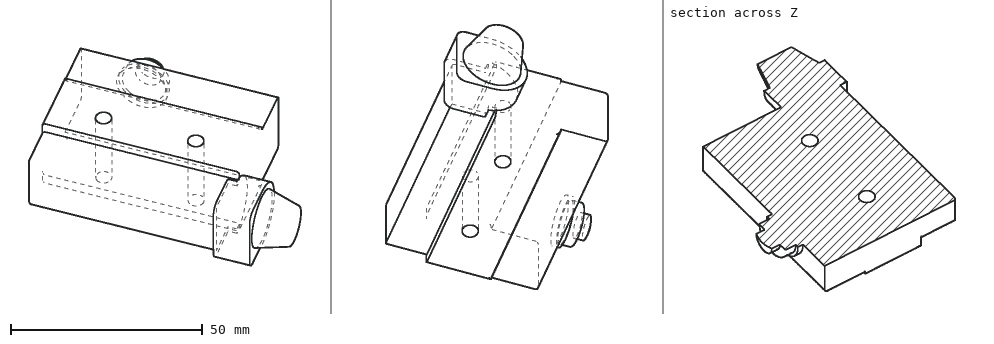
import cadquery as cq

body_length = 54.5
body_width = 42.4
edge_radius = 1.0

rear_height = 19.2
ridge_height = 22.0
front_height = 16.0
ridge_front_y = 11.4
ridge_rear_y = 29.4

hole_diameter = 4.21
hole_spacing = 25.5
first_hole_x = 14.5
hole_y = 18.45

plunger_x = 16.7
flange_diameter = 14.0
flange_top = 1.6
bushing_diameter = 12.0
bushing_top = 4.9
bushing_edge_radius = 0.5
button_diameter = 7.0
button_side_top = 7.5
button_dome_top = 8.2

overall_length = 71.0
collar_radius = 9.8
collar_start_x = 52.0
collar_end_x = 62.0
collar_corner_radius = 2.6
collar_overhang = 2.1
collar_axis_y = 7.6
collar_wrap_y = 9.3
nose_base_radius = 8.0
nose_tip_radius = 5.5
nose_edge_radius = 0.3


def block(x_min, x_max, y_min, y_max, height):
    """Box centred on the mid plane Z = 0."""
    return (
        cq.Workplane("XY")
        .box(x_max - x_min, y_max - y_min, height, centered=(False, False, True))
        .translate((x_min, y_min, 0))
    )


def make_body():
    rear = block(0, body_length, ridge_front_y, body_width, rear_height)
    rear = rear.faces(">Y").edges("|X").fillet(edge_radius)

    ridge = block(0, body_length, ridge_front_y, ridge_rear_y, ridge_height)
    ridge_edges = ridge.faces("<Z or >Z").edges("not <Y")
    ridge = ridge_edges.fillet(edge_radius)

    front = block(0, body_length, 0, ridge_front_y, front_height)
    left_edges = front.faces("<X").edges("not >Y")
    upper_front_edge = front.faces(">Z").edges("<Y")
    front = left_edges.add(upper_front_edge).fillet(edge_radius)

    return rear.union(ridge).union(front)


def make_mounting_holes():
    hole_centers = [(first_hole_x, hole_y), (first_hole_x + hole_spacing, hole_y)]
    return (
        cq.Workplane("XY", origin=(0, 0, -ridge_height / 2))
        .pushPoints(hole_centers)
        .circle(hole_diameter / 2)
        .extrude(ridge_height)
    )


def make_plunger():
    """Half profile of radius against height, turned about the plunger axis."""
    flange_radius = flange_diameter / 2
    bushing_radius = bushing_diameter / 2
    button_radius = button_diameter / 2
    dome_rise = button_dome_top - button_side_top
    dome_radius = (button_radius**2 + dome_rise**2) / (2 * dome_rise)
    profile = (
        cq.Workplane("XY", origin=(plunger_x, body_width, 0))
        .lineTo(flange_radius, 0)
        .lineTo(flange_radius, flange_top)
        .lineTo(bushing_radius, flange_top)
        .lineTo(bushing_radius, bushing_top - bushing_edge_radius)
        .radiusArc((bushing_radius - bushing_edge_radius, bushing_top), -bushing_edge_radius)
        .lineTo(button_radius, bushing_top)
        .lineTo(button_radius, button_side_top)
        .radiusArc((0, button_dome_top), -dome_radius)
        .close()
    )
    return profile.revolve(360, (0, 0, 0), (0, 1, 0))


def make_collar():
    """Round at the rear, square with rounded corners at the front."""
    length = collar_end_x - collar_start_x
    square = block(collar_start_x, collar_end_x, -collar_overhang, collar_axis_y, 2 * collar_radius)
    square = square.faces("<Y").edges("|X").fillet(collar_corner_radius)
    barrel = (
        cq.Workplane("YZ", origin=(collar_start_x, collar_axis_y, 0))
        .moveTo(0, -collar_radius)
        .threePointArc((collar_radius, 0), (0, collar_radius))
        .close()
        .extrude(length)
    )
    collar_rear_y = collar_axis_y + collar_radius
    body_clearance = block(collar_start_x, body_length, collar_wrap_y, collar_rear_y, 2 * collar_radius)
    return square.union(barrel).cut(body_clearance)


def make_nose():
    cone = cq.Solid.makeCone(
        nose_base_radius,
        nose_tip_radius,
        overall_length - collar_end_x,
        pnt=cq.Vector(collar_end_x, collar_axis_y, 0),
        dir=cq.Vector(1, 0, 0),
    )
    return cq.Workplane(cone).faces(">X").edges().fillet(nose_edge_radius)


result = (
    make_body()
    .union(make_collar())
    .union(make_nose())
    .union(make_plunger())
    .cut(make_mounting_holes())
)